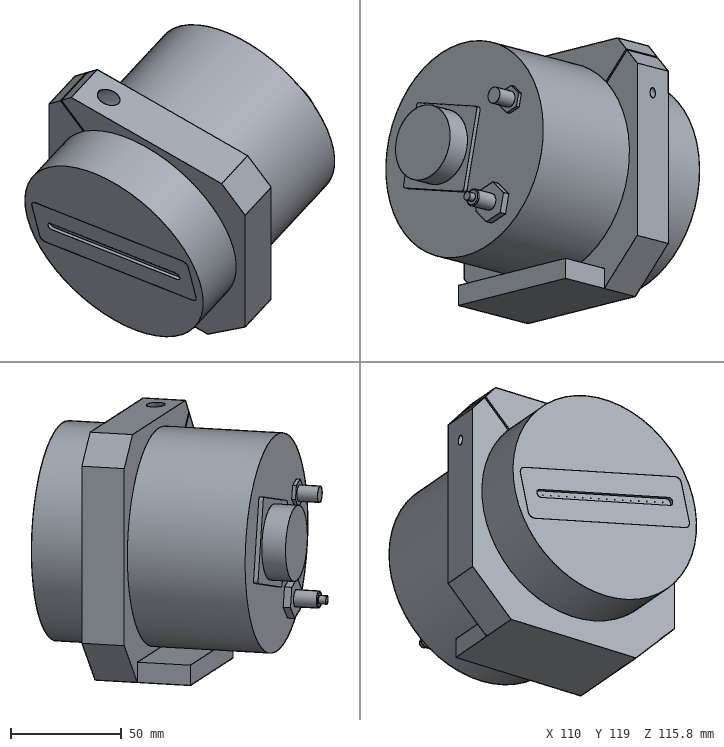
import cadquery as cq
import math

TILT = 13.0

BARREL_D = 100.0
BARREL_LEN = 100.9

PLATE_LEN = 90.0
PLATE_WIDTH = 25.0
PLATE_CORNER_R = 3.0
PLATE_PROUD = 0.06
SLOT_CENTRES = 71.8
SLOT_WIDTH = 3.9
SLOT_DEPTH = 1.5
NOZZLE_COUNT = 16
NOZZLE_ROW = 67.0
NOZZLE_PITCH = NOZZLE_ROW / (NOZZLE_COUNT - 1)
NOZZLE_D = 0.25
NOZZLE_DEPTH = 1.2

CONNECTOR_ALONG = 13.7
FLANGE_SIDE = 39.3
FLANGE_CORNER_R = 1.4
FLANGE_THICK = 2.1
CONNECTOR_D = 34.6
CONNECTOR_TOP = 13.3

FITTING_ALONG = -25.4
FITTING_ACROSS = 23.8
INLET_HEX_FLATS = 11.0
INLET_HEX_THICK = 1.8
INLET_D = 7.5
INLET_TOP = 11.5
VENT_HEX_FLATS = 16.0
VENT_HEX_THICK = 3.5
VENT_D = 7.9
VENT_TOP = 14.6
VENT_EDGE_BREAK = 0.5
TIP_D = 3.9
HEAD_TOTAL_LEN = 119.0

CLAMP_WIDTH = 110.0
CLAMP_HEIGHT = 115.8
CLAMP_TOP = 54.8
CLAMP_Y = 25.4
CLAMP_THICK = 20.0
LOWER_CHAMFER = 21.0
UPPER_RIGHT_CHAMFER = 13.2
SPLIT_CHAMFER_X = 12.5
SPLIT_CHAMFER_Z = 14.2
SPLIT_GAP = 0.8
SCREW_OFFSET = 41.8
SCREW_HEAD_D = 8.0
SCREW_THREAD_D = 3.3
FOOT_LEN = 25.0
FOOT_HEIGHT = 9.4

HALF_WIDTH = CLAMP_WIDTH / 2
CLAMP_BOTTOM = CLAMP_TOP - CLAMP_HEIGHT
CLAMP_BACK = CLAMP_Y + CLAMP_THICK


def tilted_plane(y, along=0.0, across=0.0):
    """Plane facing +Y whose local x follows -(nozzle row) and local y points across it."""
    angle = math.radians(TILT)
    x = along * math.cos(angle) - across * math.sin(angle)
    z = along * math.sin(angle) + across * math.cos(angle)
    row_reversed = (-math.cos(angle), 0, -math.sin(angle))
    return cq.Workplane(cq.Plane(origin=(x, y, z), xDir=row_reversed, normal=(0, 1, 0)))


def hexagon(plane, flats, height):
    """Hexagonal prism with two corners pointing across the nozzle row."""
    corner_d = flats / math.cos(math.pi / 6)
    return plane.transformed(rotate=(0, 0, 90)).polygon(6, corner_d).extrude(height)


def make_barrel():
    return tilted_plane(0).circle(BARREL_D / 2).extrude(BARREL_LEN)


def make_nozzle_plate():
    plate = tilted_plane(-PLATE_PROUD).rect(PLATE_LEN, PLATE_WIDTH).extrude(PLATE_PROUD + SLOT_DEPTH)
    return plate.edges("|Y").fillet(PLATE_CORNER_R)


def make_nozzle_cuts():
    slot = tilted_plane(-PLATE_PROUD).slot2D(SLOT_CENTRES + SLOT_WIDTH, SLOT_WIDTH)
    slot = slot.extrude(SLOT_DEPTH + PLATE_PROUD)
    nozzles = tilted_plane(SLOT_DEPTH).rarray(NOZZLE_PITCH, 1.2, NOZZLE_COUNT, 1)
    nozzles = nozzles.circle(NOZZLE_D / 2).extrude(NOZZLE_DEPTH)
    return slot, nozzles


def make_connector():
    plane = tilted_plane(BARREL_LEN, CONNECTOR_ALONG)
    flange = plane.rect(FLANGE_SIDE, FLANGE_SIDE).extrude(FLANGE_THICK)
    flange = flange.edges("|Y").fillet(FLANGE_CORNER_R)
    return flange.union(plane.circle(CONNECTOR_D / 2).extrude(CONNECTOR_TOP))


def make_inlet():
    plane = tilted_plane(BARREL_LEN, FITTING_ALONG, FITTING_ACROSS)
    tube = plane.circle(INLET_D / 2).extrude(INLET_TOP)
    return hexagon(plane, INLET_HEX_FLATS, INLET_HEX_THICK).union(tube)


def make_vent():
    plane = tilted_plane(BARREL_LEN, FITTING_ALONG, -FITTING_ACROSS)
    tube = plane.circle(VENT_D / 2).extrude(VENT_TOP)
    tube = tube.faces(">Y").edges().chamfer(VENT_EDGE_BREAK)
    tip = plane.circle(TIP_D / 2).extrude(HEAD_TOTAL_LEN - PLATE_PROUD - BARREL_LEN)
    return hexagon(plane, VENT_HEX_FLATS, VENT_HEX_THICK).union(tube).union(tip)


def make_print_head():
    head = make_barrel().union(make_nozzle_plate())
    for cut in make_nozzle_cuts():
        head = head.cut(cut)
    for fitting in (make_connector(), make_inlet(), make_vent()):
        head = head.union(fitting)
    return head


def make_clamp_block():
    foot_half = HALF_WIDTH - LOWER_CHAMFER
    outline = [
        (-foot_half, CLAMP_BOTTOM),
        (foot_half, CLAMP_BOTTOM),
        (HALF_WIDTH, CLAMP_BOTTOM + LOWER_CHAMFER),
        (HALF_WIDTH, CLAMP_TOP - UPPER_RIGHT_CHAMFER),
        (HALF_WIDTH - UPPER_RIGHT_CHAMFER, CLAMP_TOP),
        (-HALF_WIDTH + SPLIT_CHAMFER_X, CLAMP_TOP),
        (-HALF_WIDTH, CLAMP_TOP - SPLIT_CHAMFER_Z),
        (-HALF_WIDTH, CLAMP_BOTTOM + LOWER_CHAMFER),
    ]
    block = cq.Workplane("XZ", origin=(0, CLAMP_Y, 0)).polyline(outline).close().extrude(-CLAMP_THICK)
    foot = cq.Workplane("XY").box(2 * foot_half, FOOT_LEN, FOOT_HEIGHT, centered=(True, False, False))
    return block.union(foot.translate((0, CLAMP_BACK, CLAMP_BOTTOM)))


def make_split():
    """Thin slit along the upper-left diagonal, from the bore out through the chamfer."""
    reach = CLAMP_WIDTH
    slit = cq.Workplane("XY").box(reach, CLAMP_THICK, SPLIT_GAP, centered=(False, False, True))
    return slit.rotate((0, 0, 0), (0, 1, 0), -135).translate((0, CLAMP_Y, 0))


def make_screw_hole():
    """Hole square to the split: wide above the split, thread size below it."""
    mid_y = CLAMP_Y + CLAMP_THICK / 2
    centre = (-SCREW_OFFSET, mid_y, SCREW_OFFSET)
    reach = HALF_WIDTH
    up = cq.Plane(origin=centre, xDir=(0, 1, 0), normal=(1, 0, 1))
    down = cq.Plane(origin=centre, xDir=(0, 1, 0), normal=(-1, 0, -1))
    wide = cq.Workplane(up).circle(SCREW_HEAD_D / 2).extrude(reach)
    thread = cq.Workplane(down).circle(SCREW_THREAD_D / 2).extrude(reach)
    return wide.union(thread)


def make_clamp():
    bore = cq.Workplane("XZ", origin=(0, CLAMP_Y, 0)).circle(BARREL_D / 2).extrude(-CLAMP_THICK)
    return make_clamp_block().cut(bore).cut(make_split()).cut(make_screw_hole())


print_head = make_print_head()
clamp = make_clamp()
result = cq.Compound.makeCompound([print_head.val(), clamp.val()])